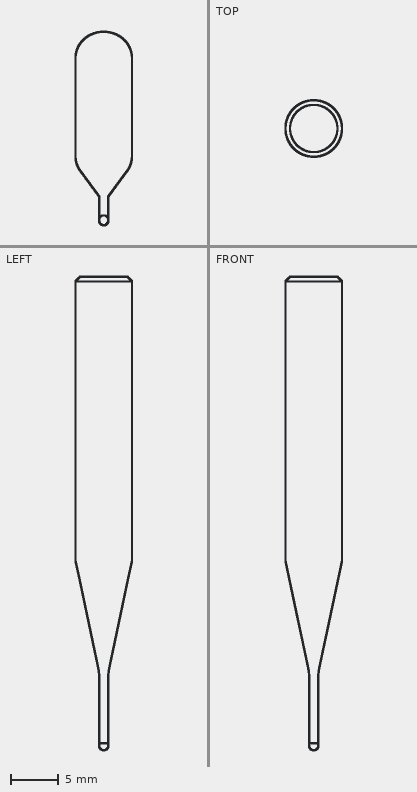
import cadquery as cq
import math

overall_length = 50.0

ball_radius = 0.5
cutter_length = 0.75

neck_radius = 0.48
relief_length = 0.05
relief_top = cutter_length + relief_length

usable_reach = 8.0
blend_radius = 6.0
taper_half_angle = math.radians(12)

shank_radius = 3.0
shank_chamfer = 0.5

reach_angle = math.acos(1 - (ball_radius - neck_radius) / blend_radius)
neck_top = usable_reach - blend_radius * math.sin(reach_angle)


def blend_point(angle):
    """Point of the blend arc after turning through an angle, as (radius, height)."""
    radius = neck_radius + blend_radius * (1 - math.cos(angle))
    height = neck_top + blend_radius * math.sin(angle)
    return (radius, height)


blend_top_radius, blend_top_height = blend_point(taper_half_angle)
taper_length = (shank_radius - blend_top_radius) / math.tan(taper_half_angle)
shank_bottom = blend_top_height + taper_length


def revolve_about_axis(profile):
    """Turn a closed half profile about Z, keeping the edge where the two blend arcs meet."""
    return profile.revolve(360, (0, 0), (0, 1), clean=False)


def make_cutter():
    """Ball-nosed cutting head."""
    middle_angle = math.pi / 4
    ball_middle = (
        ball_radius * math.sin(middle_angle),
        ball_radius * (1 - math.cos(middle_angle)),
    )
    profile = (
        cq.Workplane("XZ")
        .moveTo(0, 0)
        .threePointArc(ball_middle, (ball_radius, ball_radius))
        .lineTo(ball_radius, cutter_length)
        .lineTo(0, cutter_length)
        .close()
    )
    return revolve_about_axis(profile)


def make_shank():
    """Slim neck, blend, taper and cylindrical shank with a chamfered end."""
    profile = (
        cq.Workplane("XZ")
        .moveTo(0, cutter_length)
        .lineTo(ball_radius, cutter_length)
        .lineTo(neck_radius, relief_top)
        .lineTo(neck_radius, neck_top)
        .threePointArc(blend_point(reach_angle / 2), blend_point(reach_angle))
        .threePointArc(
            blend_point((reach_angle + taper_half_angle) / 2),
            blend_point(taper_half_angle),
        )
        .lineTo(shank_radius, shank_bottom)
        .lineTo(shank_radius, overall_length - shank_chamfer)
        .lineTo(shank_radius - shank_chamfer, overall_length)
        .lineTo(0, overall_length)
        .close()
    )
    return revolve_about_axis(profile)


cutter = make_cutter()
shank = make_shank()

result = cq.Compound.makeCompound([cutter.val(), shank.val()])